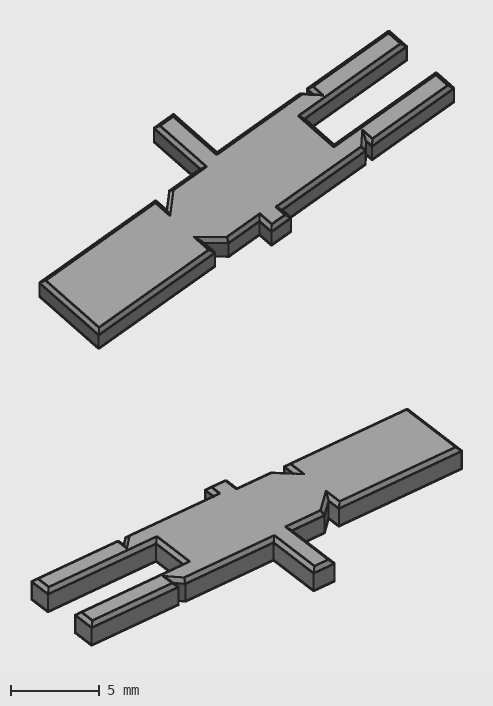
import cadquery as cq

thickness = 1.5
edge_chamfer = 0.248
turn_angle = 26.65

upper_half_width = 2.75
lower_half_width = 2.497
slot_half_width = 1.242
upper_notch_half_width = 2.25
lower_notch_half_width = 1.57

prong_tip_y = 13.73
upper_notch_y = 7.53
upper_shoulder_y = upper_notch_y - (upper_half_width - upper_notch_half_width)
slot_floor_y = 6.01
lower_shoulder_y = -3.09
lower_notch_y = -4.1
paddle_end_y = -12.9

arm_half_width = 0.745
left_arm_reach = 6.4
right_arm_reach = 3.5


def side_points(side, arm_reach):
    """Half outline from slot floor to paddle end; side is +1 (right) or -1 (left)."""
    half_outline = [
        (slot_half_width, slot_floor_y),
        (slot_half_width, prong_tip_y),
        (upper_half_width, prong_tip_y),
        (upper_half_width, upper_notch_y),
        (upper_notch_half_width, upper_notch_y),
        (upper_half_width, upper_shoulder_y),
        (upper_half_width, arm_half_width),
        (arm_reach, arm_half_width),
        (arm_reach, -arm_half_width),
        (lower_half_width, -arm_half_width),
        (lower_half_width, lower_shoulder_y),
        (lower_notch_half_width, lower_notch_y),
        (lower_half_width, lower_notch_y),
        (lower_half_width, paddle_end_y),
    ]
    return [(side * x, y) for x, y in half_outline]


right_side = side_points(1, right_arm_reach)
left_side = side_points(-1, left_arm_reach)
outline = right_side + left_side[::-1]

plate = cq.Workplane("XY").polyline(outline).close().extrude(thickness)
chamfered_plate = plate.faces(">Z").chamfer(edge_chamfer)

result = chamfered_plate.rotate((0, 0, 0), (0, 0, 1), turn_angle)